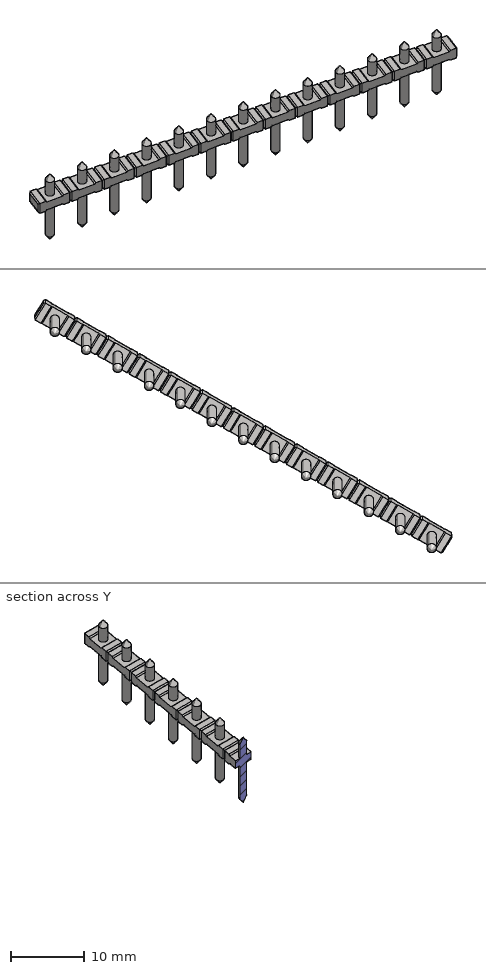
import cadquery as cq

strip_length = 65.0
cell_count = 13
pitch = strip_length / cell_count

body_width = 2.8
body_height = 1.9
body_bottom = 7.15
body_middle = body_bottom + body_height / 2
end_chamfer = 0.2

channel_mouth = 2.8
channel_depth = 0.2
channel_floor = channel_mouth - 2 * channel_depth

pin_length = 12.5
pin_radius = 0.65
tip_height = 1.05


def make_body():
    """Block with bevelled Y ends and a channel across its top and bottom."""
    body = cq.Workplane("XY").box(body_width, pitch, body_height)
    body = body.faces("<Y or >Y").edges().chamfer(end_chamfer)
    top_channel = (
        cq.Workplane("YZ")
        .moveTo(-channel_mouth / 2, body_height / 2)
        .lineTo(-channel_floor / 2, body_height / 2 - channel_depth)
        .lineTo(channel_floor / 2, body_height / 2 - channel_depth)
        .lineTo(channel_mouth / 2, body_height / 2)
        .close()
        .extrude(body_width / 2, both=True)
    )
    bottom_channel = top_channel.mirror("XY")
    body = body.cut(top_channel).cut(bottom_channel)
    return body.translate((0, 0, body_middle))


def make_pin():
    """Solid of revolution about Z: a cylinder between two cones."""
    return (
        cq.Workplane("YZ")
        .lineTo(-pin_radius, tip_height)
        .lineTo(-pin_radius, pin_length - tip_height)
        .lineTo(0, pin_length)
        .close()
        .revolve(360, (0, 0, 0), (0, 1, 0))
    )


cell = make_body().union(make_pin())
result = cq.Workplane("XY")
for index in range(cell_count):
    cell_y = (index - (cell_count - 1) / 2) * pitch
    result = result.union(cell.translate((0, cell_y, 0)))